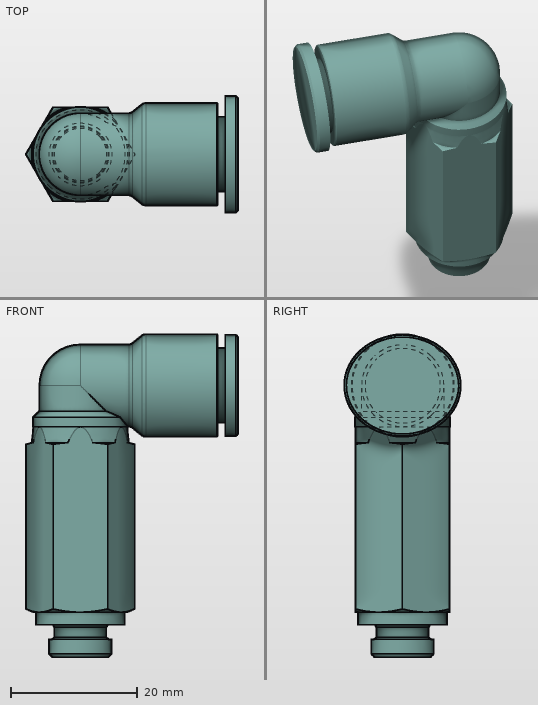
import cadquery as cq
import math


plug_radius = 4.95
plug_chamfer = 0.55
plug_top = 2.85
plug_shoulder_radius = 4.5
neck_radius = 4.15
neck_start = 3.2
neck_end = 4.75
neck_flare_radius = 4.35

collar_radius = 7.05
collar_bottom = 5.2
collar_top = 7.2

hex_across_flats = 14.95
hex_flat_radius = hex_across_flats / 2
hex_corner_radius = hex_flat_radius / math.cos(math.radians(30))
hex_bottom = collar_top
hex_bottom_chamfer_height = 0.5
hex_corner_top = 33.75
crown_base_height = 34.05
crown_base_radius = 7.75
hex_top = 36.55

rim_radius = 7.55
rim_cylinder_top = 38.1
rim_top = 39.05

elbow_radius = 6.5
socket_radius = 8.15
total_height = 51.25
branch_height = total_height - socket_radius
socket_cone_start = 8.0
socket_cone_end = 10.05
socket_blend_radius = 0.95
socket_end = 21.8
socket_end_chamfer = 0.15

ring_neck_radius = 5.95
ring_start = 22.95
ring_width = 18.5
ring_height = 16.1
ring_chamfer = 0.35
total_length = 33.65
ring_end = total_length - hex_corner_radius


def turned(points):
    """Revolve a closed (radius, height) outline about the Z axis."""
    return cq.Workplane("XZ").polyline(points).close().revolve(360, (0, 0, 0), (0, 1, 0))


def make_plug():
    return turned([
        (0, 0),
        (plug_radius - plug_chamfer, 0),
        (plug_radius, plug_chamfer),
        (plug_radius, plug_top),
        (plug_shoulder_radius, plug_top),
        (neck_radius, neck_start),
        (neck_radius, neck_end),
        (neck_flare_radius, collar_bottom),
        (collar_radius, collar_bottom),
        (collar_radius, collar_top),
        (0, collar_top),
    ])


def make_hexagon():
    """Hexagonal bar trimmed by a turned envelope: bevelled below, crowned above."""
    bar = (
        cq.Workplane("XY", origin=(0, 0, hex_bottom))
        .polygon(6, 2 * hex_corner_radius)
        .extrude(hex_top - hex_bottom)
    )
    envelope = turned([
        (0, hex_bottom),
        (hex_flat_radius, hex_bottom),
        (hex_corner_radius, hex_bottom + hex_bottom_chamfer_height),
        (hex_corner_radius, hex_corner_top),
        (crown_base_radius, crown_base_height),
        (hex_flat_radius, hex_top),
        (0, hex_top),
    ])
    return bar.intersect(envelope)


def make_rim():
    return turned([
        (0, hex_top),
        (rim_radius, hex_top),
        (rim_radius, rim_cylinder_top),
        (elbow_radius, rim_top),
        (0, rim_top),
    ])


def make_elbow():
    """Upright cylinder capped by a ball that rounds the outer bend."""
    upright = (
        cq.Workplane("XY", origin=(0, 0, hex_top))
        .circle(elbow_radius)
        .extrude(branch_height - hex_top)
    )
    ball = cq.Workplane("XY", origin=(0, 0, branch_height)).sphere(elbow_radius)
    return upright.union(ball)


def make_branch():
    """Horizontal pipe that widens through a blended cone into the tube socket."""
    profile = [
        (0, 0),
        (0, elbow_radius),
        (socket_cone_start, elbow_radius),
        (socket_cone_end, socket_radius),
        (socket_end, socket_radius),
        (socket_end, 0),
    ]
    body = (
        cq.Workplane("XZ", origin=(0, 0, branch_height))
        .polyline(profile)
        .close()
        .revolve(360, (0, 0, 0), (1, 0, 0))
    )
    cone_reach = 0.25
    cone_edges = cq.selectors.BoxSelector(
        (socket_cone_start - cone_reach, -total_height, 0),
        (socket_cone_end + cone_reach, total_height, 2 * total_height),
    )
    body = body.edges(cone_edges).edges("%CIRCLE").fillet(socket_blend_radius)
    return body.faces(">X").edges().chamfer(socket_end_chamfer)


def make_release_ring():
    """Round neck carrying an oval flange that can be pressed by hand."""
    neck = (
        cq.Workplane("YZ", origin=(socket_end, 0, branch_height))
        .circle(ring_neck_radius)
        .extrude(ring_start - socket_end)
    )
    flange = (
        cq.Workplane("YZ", origin=(ring_start, 0, branch_height))
        .ellipse(ring_width / 2, ring_height / 2)
        .extrude(ring_end - ring_start)
        .faces(">X").edges().chamfer(ring_chamfer)
    )
    return neck.union(flange)


result = (
    make_plug()
    .union(make_hexagon())
    .union(make_rim())
    .union(make_elbow())
    .union(make_branch())
    .union(make_release_ring())
)